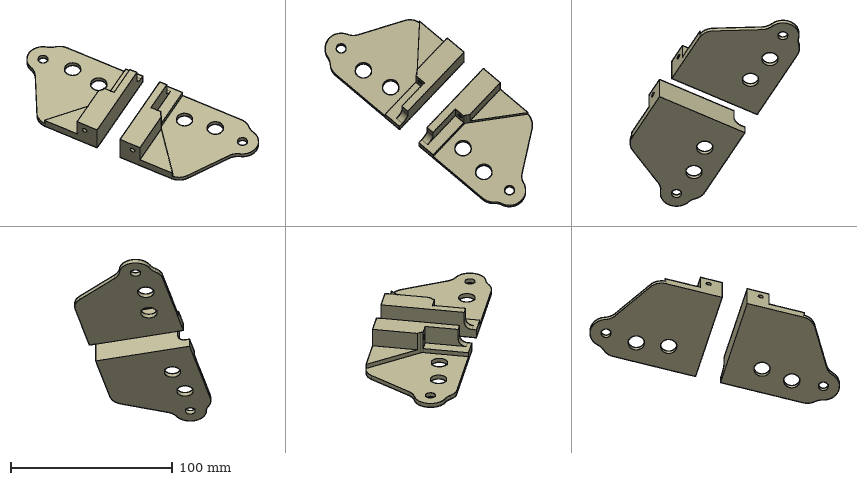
import cadquery as cq
import math

half_span = 80.0
half_gap = 8.0
depth = 60.0
height = 17.6
plate_thickness = 2.9
pad_height = 5.8

round_radius = depth / 6
ear_x = -half_span + round_radius
ear_y = 45.0
front_corner_x = -44.3
back_corner_x = -61.1
side_angle = math.radians(30.0)

ear_hole_diameter = 6.0
large_hole_diameter = 10.0
large_hole_centers = [(-50.0, 46.5), (-30.0, 43.5)]

pad_width = 12.0
pad_front_x = -45.1
pad_diagonal_end_y = 30.7
pad_corner_radius = 3.0
block_width = 14.0
block_depth = 31.5
wall_thickness = 5.0
wall_end_y = 52.3
cove_radius = 5.0
pin_hole_diameter = 3.0
pin_hole_x = -16.8
pin_hole_z = 12.2


def midpoint(first, second):
    return ((first[0] + second[0]) / 2, (first[1] + second[1]) / 2)


def arc_middle(center, start, end):
    """Middle of the outline arc from start to end around center."""
    chord_middle = midpoint(start, end)
    stretch = round_radius / math.dist(center, chord_middle)
    return (
        center[0] + (chord_middle[0] - center[0]) * stretch,
        center[1] + (chord_middle[1] - center[1]) * stretch,
    )


def plate_profile():
    """Ear and two rounded corners, joined by tangent concave blends.

    Every arc has the same radius, so each blend meets its neighbour midway between their centers.
    """
    ear = (ear_x, ear_y)
    front = (front_corner_x, round_radius)
    back = (back_corner_x, depth - round_radius)
    reach = 2 * round_radius
    outward = (-math.cos(side_angle), -math.sin(side_angle))
    along = (-math.sin(side_angle), math.cos(side_angle))

    side_start = (front[0] + round_radius * outward[0], front[1] + round_radius * outward[1])
    ear_offset = (ear[0] - front[0], ear[1] - front[1])
    ear_run = ear_offset[0] * along[0] + ear_offset[1] * along[1]
    ear_rise = ear_offset[0] * outward[0] + ear_offset[1] * outward[1]
    side_length = ear_run - math.sqrt(reach ** 2 - (reach - ear_rise) ** 2)
    side_end = (side_start[0] + side_length * along[0], side_start[1] + side_length * along[1])
    front_blend = (side_end[0] + round_radius * outward[0], side_end[1] + round_radius * outward[1])
    ear_front = midpoint(ear, front_blend)

    span = math.dist(ear, back)
    blend_rise = math.sqrt(reach ** 2 - (span / 2) ** 2)
    span_middle = midpoint(ear, back)
    back_blend = (
        span_middle[0] - blend_rise * (back[1] - ear[1]) / span,
        span_middle[1] + blend_rise * (back[0] - ear[0]) / span,
    )
    ear_back = midpoint(ear, back_blend)
    back_start = midpoint(back, back_blend)

    front_end = (front[0], 0)
    back_end = (back[0], depth)
    return (
        cq.Workplane("XY")
        .moveTo(-half_gap, 0)
        .lineTo(*front_end)
        .threePointArc(arc_middle(front, front_end, side_start), side_start)
        .lineTo(*side_end)
        .threePointArc(arc_middle(front_blend, side_end, ear_front), ear_front)
        .threePointArc((-half_span, ear_y), ear_back)
        .threePointArc(arc_middle(back_blend, ear_back, back_start), back_start)
        .threePointArc(arc_middle(back, back_start, back_end), back_end)
        .lineTo(-half_gap, depth)
        .close()
    )


def plate():
    body = plate_profile().extrude(plate_thickness)
    ear_hole = cq.Workplane("XY").center(ear_x, ear_y).circle(ear_hole_diameter / 2)
    large_holes = cq.Workplane("XY").pushPoints(large_hole_centers).circle(large_hole_diameter / 2)
    return body.cut(ear_hole.extrude(plate_thickness)).cut(large_holes.extrude(plate_thickness))


def pad_column(column_height):
    """Pad footprint: a strip along the inner face, widening along a diagonal to the front."""
    strip_x = -half_gap - pad_width
    column = (
        cq.Workplane("XY")
        .polyline([
            (-half_gap, 0),
            (pad_front_x, 0),
            (strip_x, pad_diagonal_end_y),
            (strip_x, depth),
            (-half_gap, depth),
        ])
        .close()
        .extrude(column_height)
    )
    bend = cq.selectors.NearestToPointSelector((strip_x, pad_diagonal_end_y, column_height / 2))
    column = column.edges(bend).fillet(pad_corner_radius)
    return column.intersect(plate_profile().extrude(column_height))


def block():
    """Full-height block, trimmed to the pad footprint."""
    box = cq.Workplane("XY").box(block_width, block_depth, height, centered=False)
    return box.translate((-half_gap - block_width, 0, 0)).intersect(pad_column(height))


def wall():
    """Thin wall along the inner face, ending in a cove down to the pad."""
    return (
        cq.Workplane("YZ", origin=(-half_gap - wall_thickness, 0, 0))
        .moveTo(0, 0)
        .lineTo(wall_end_y + cove_radius, 0)
        .lineTo(wall_end_y + cove_radius, pad_height)
        .radiusArc((wall_end_y, pad_height + cove_radius), cove_radius)
        .lineTo(wall_end_y, height)
        .lineTo(0, height)
        .close()
        .extrude(wall_thickness)
    )


def bracket():
    """Plate, pad, block and wall in one solid, with the pin hole through the block along Y."""
    pin_hole = (
        cq.Workplane("XZ")
        .center(pin_hole_x, pin_hole_z)
        .circle(pin_hole_diameter / 2)
        .extrude(-depth)
    )
    return plate().union(pad_column(pad_height)).union(block()).union(wall()).cut(pin_hole)


left_bracket = bracket()
right_bracket = left_bracket.mirror("YZ")
result = cq.Compound.makeCompound([left_bracket.val(), right_bracket.val()])